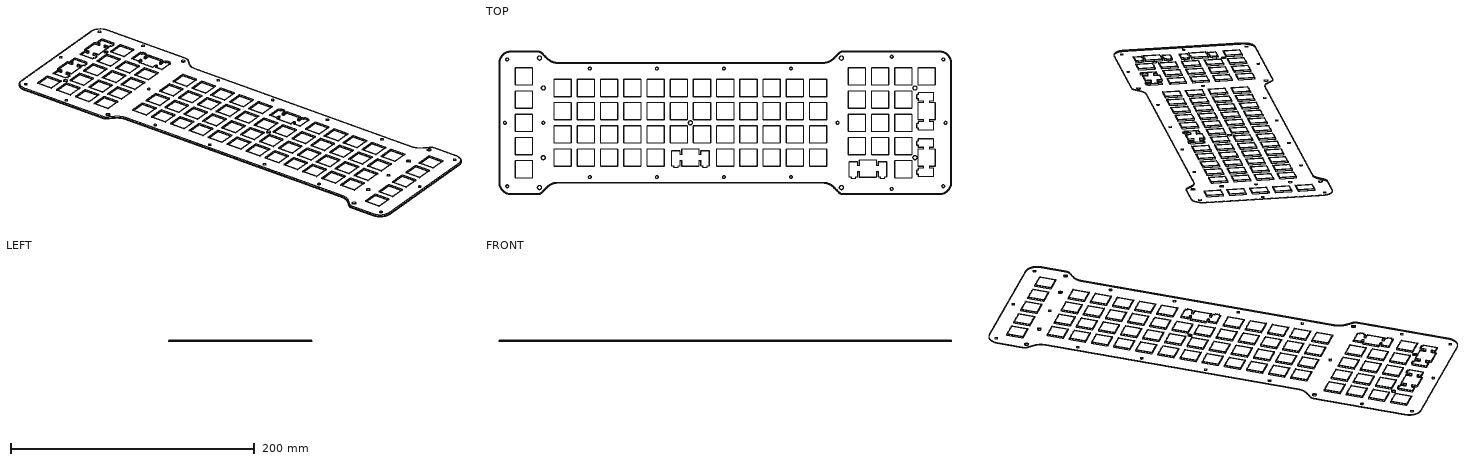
import cadquery as cq
LENGTH = 371.35
WIDTH = 117.75
THICKNESS = 1.5
WAIST_WIDTH = 99.0
OUTER_CORNER_RADIUS = 10.0
SHOULDER_INNER_RADIUS = 12.0
SHOULDER_OUTER_RADIUS = 5.0
EDGE_CHAMFER = 0.75
LEFT_SHOULDER_X = -151.7
RIGHT_SHOULDER_X = 94.5

KEY_PITCH = 19.05
SWITCH_SIZE = 14.0
MAIN_COLUMNS = 12
MAIN_ROWS = 4
SIDE_ROWS = 5
NUMPAD_COLUMNS = 4
BLOCK_STEP = KEY_PITCH * 5 / 3

KEYS_SPAN = (MAIN_COLUMNS - 1 + NUMPAD_COLUMNS - 1) * KEY_PITCH + 2 * BLOCK_STEP
LEFT_KEY_X = -KEYS_SPAN / 2
MAIN_FIRST_X = LEFT_KEY_X + BLOCK_STEP
MAIN_LAST_X = MAIN_FIRST_X + (MAIN_COLUMNS - 1) * KEY_PITCH
MAIN_CENTER_X = (MAIN_FIRST_X + MAIN_LAST_X) / 2
NUMPAD_FIRST_X = MAIN_LAST_X + BLOCK_STEP
NUMPAD_LAST_X = KEYS_SPAN / 2
LEFT_GAP_X = LEFT_KEY_X + BLOCK_STEP / 2
RIGHT_GAP_X = MAIN_LAST_X + BLOCK_STEP / 2
ZERO_KEY_SHIFT = 0.5

WIDE_KEYS = [
    (MAIN_CENTER_X, -1.5 * KEY_PITCH, 0),
    (NUMPAD_FIRST_X + KEY_PITCH / 2 - ZERO_KEY_SHIFT, -2 * KEY_PITCH + ZERO_KEY_SHIFT, 0),
    (NUMPAD_LAST_X, 0.5 * KEY_PITCH, -90),
    (NUMPAD_LAST_X, -1.5 * KEY_PITCH, -90),
]

STABILIZER_OFFSET = 11.938
STABILIZER_WIDTH = 6.75
STABILIZER_TOP = 5.53
STABILIZER_BOTTOM = -6.77
STABILIZER_TONGUE_WIDTH = 3.3
STABILIZER_TONGUE_BOTTOM = -7.97
STABILIZER_CHANNEL_WIDTH = 4.8

SCREW_DIAMETER = 2.2
POST_DIAMETER = 3.2
CORNER_SCREW_X = 178.85
CORNER_SCREW_Y = 52.0
END_SCREW_X = 180.7
WAIST_SCREW_COUNT = 4
WAIST_SCREW_STEP = 55.0
WAIST_SCREW_Y = 44.5
NUMPAD_SCREW_X = (NUMPAD_FIRST_X + NUMPAD_LAST_X) / 2
NUMPAD_SCREW_Y = 54.2
SHOULDER_POST_Y = 53.1
LEFT_SHOULDER_POST_X = -8 * KEY_PITCH
RIGHT_SHOULDER_POST_X = 5 * KEY_PITCH
INNER_POST_Y = 1.5 * KEY_PITCH


def centered_positions(count, step):
    """Evenly spaced coordinates, symmetric about zero."""
    return [(i - (count - 1) / 2) * step for i in range(count)]


def mirrored(x, y):
    """A point and its mirror image across the X axis."""
    return [(x, y), (x, -y)]


def plate_blank():
    """Plate with a narrower waist between two end blocks, joined by 45 degree shoulders."""
    end_x = LENGTH / 2
    end_y = WIDTH / 2
    waist_y = WAIST_WIDTH / 2
    shoulder = end_y - waist_y
    upper = [
        (end_x, end_y),
        (RIGHT_SHOULDER_X, end_y),
        (RIGHT_SHOULDER_X - shoulder, waist_y),
        (LEFT_SHOULDER_X + shoulder, waist_y),
        (LEFT_SHOULDER_X, end_y),
        (-end_x, end_y),
    ]
    lower = [(x, -y) for x, y in reversed(upper)]
    plate = cq.Workplane("XY").polyline(upper + lower).close().extrude(THICKNESS)
    corners = [
        (-end_x, end_y, OUTER_CORNER_RADIUS),
        (end_x, end_y, OUTER_CORNER_RADIUS),
        (LEFT_SHOULDER_X, end_y, SHOULDER_OUTER_RADIUS),
        (RIGHT_SHOULDER_X, end_y, SHOULDER_OUTER_RADIUS),
        (LEFT_SHOULDER_X + shoulder, waist_y, SHOULDER_INNER_RADIUS),
        (RIGHT_SHOULDER_X - shoulder, waist_y, SHOULDER_INNER_RADIUS),
    ]
    for x, y, radius in corners:
        for corner in mirrored(x, y):
            edge = cq.selectors.NearestToPointSelector((*corner, THICKNESS / 2))
            plate = plate.edges("|Z").edges(edge).fillet(radius)
    return plate.faces(">Z").edges().chamfer(EDGE_CHAMFER)


def box_between(x_min, x_max, y_min, y_max):
    """Through cutter over the given X and Y ranges."""
    size = (x_max - x_min, y_max - y_min, THICKNESS)
    return cq.Workplane("XY").box(*size, centered=False).translate((x_min, y_min, 0))


def wide_key_cutter():
    """Stabilizer slots, their tongues and the channel joining them through the switch cutout."""
    half_channel = STABILIZER_CHANNEL_WIDTH / 2
    half_slot = STABILIZER_WIDTH / 2
    half_tongue = STABILIZER_TONGUE_WIDTH / 2
    cutter = box_between(-STABILIZER_OFFSET, STABILIZER_OFFSET, -half_channel, half_channel)
    for x in (-STABILIZER_OFFSET, STABILIZER_OFFSET):
        slot = box_between(x - half_slot, x + half_slot, STABILIZER_BOTTOM, STABILIZER_TOP)
        tongue = box_between(x - half_tongue, x + half_tongue, STABILIZER_TONGUE_BOTTOM, 0)
        cutter = cutter.union(slot).union(tongue)
    return cutter


def cut_switches(plate, centers):
    """Square through cutouts at the given centers."""
    squares = cq.Workplane("XY").pushPoints(centers).rect(SWITCH_SIZE, SWITCH_SIZE)
    return plate.cut(squares.extrude(THICKNESS))


def cut_stabilizers(plate):
    """Stabilizer cutouts of all double-width keys."""
    for x, y, angle in WIDE_KEYS:
        cutter = wide_key_cutter().rotate((0, 0, 0), (0, 0, 1), angle)
        plate = plate.cut(cutter.translate((x, y, 0)))
    return plate


def cut_holes(plate, centers, diameter):
    """Round through holes at the given centers."""
    return plate.cut(cq.Workplane("XY").pushPoints(centers).circle(diameter / 2).extrude(THICKNESS))


def switch_centers():
    """Centers of all switch cutouts; a double-width key replaces the two keys it covers."""
    main_ys = centered_positions(MAIN_ROWS, KEY_PITCH)
    side_ys = centered_positions(SIDE_ROWS, KEY_PITCH)
    single_keys = [(LEFT_KEY_X, y) for y in side_ys]
    for i in range(MAIN_COLUMNS):
        single_keys += [(MAIN_FIRST_X + i * KEY_PITCH, y) for y in main_ys]
    for i in range(NUMPAD_COLUMNS):
        single_keys += [(NUMPAD_FIRST_X + i * KEY_PITCH, y) for y in side_ys]

    def is_covered(x, y):
        reach = 0.75 * KEY_PITCH
        return any(abs(x - wx) < reach and abs(y - wy) < reach for wx, wy, _ in WIDE_KEYS)

    centers = [key for key in single_keys if not is_covered(*key)]
    return centers + [(x, y) for x, y, _ in WIDE_KEYS]


def screw_centers():
    """Screw holes along the plate edges and between the key blocks."""
    centers = [(-END_SCREW_X, 0), (LEFT_GAP_X, 0), (RIGHT_GAP_X, 0), (END_SCREW_X, 0)]
    centers += mirrored(-CORNER_SCREW_X, CORNER_SCREW_Y)
    centers += mirrored(CORNER_SCREW_X, CORNER_SCREW_Y)
    centers += mirrored(NUMPAD_SCREW_X, NUMPAD_SCREW_Y)
    for offset in centered_positions(WAIST_SCREW_COUNT, WAIST_SCREW_STEP):
        centers += mirrored(MAIN_CENTER_X + offset, WAIST_SCREW_Y)
    return centers


def post_centers():
    """Larger holes at the shoulders and among the keys."""
    centers = [(MAIN_CENTER_X, 0)]
    centers += mirrored(LEFT_SHOULDER_POST_X, SHOULDER_POST_Y)
    centers += mirrored(RIGHT_SHOULDER_POST_X, SHOULDER_POST_Y)
    centers += mirrored(LEFT_GAP_X, INNER_POST_Y)
    centers += mirrored(NUMPAD_LAST_X - KEY_PITCH / 2, INNER_POST_Y)
    return centers


result = plate_blank()
result = cut_switches(result, switch_centers())
result = cut_stabilizers(result)
result = cut_holes(result, screw_centers(), SCREW_DIAMETER)
result = cut_holes(result, post_centers(), POST_DIAMETER)